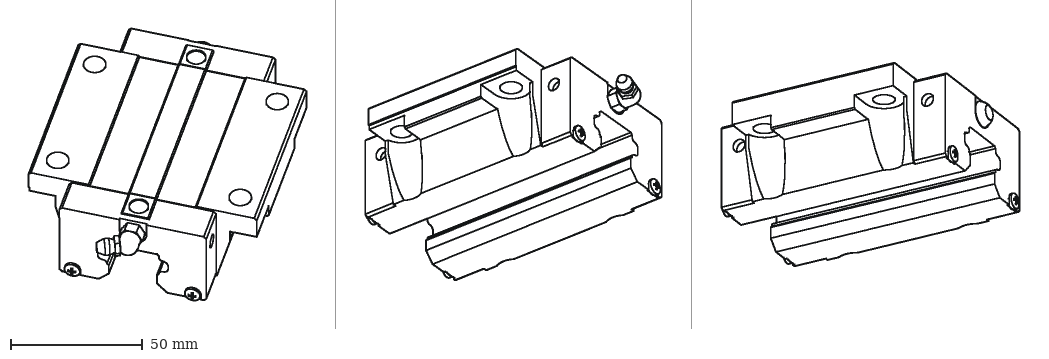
import cadquery as cq
import math


BLOCK_WIDTH = 90.0
BLOCK_LENGTH = 70.0
BLOCK_HEIGHT = 36.0
FLANGE_UNDERSIDE = 20.1
TOP_CHAMFER = 1.0
BOTTOM_CHAMFER = 0.6
WEB_TOP_HALF_WIDTH = 34.4
WEB_BOTTOM_HALF_WIDTH = 29.3
SIDE_STEP_HEIGHT = 27.6
SIDE_STEP_DEPTH = 0.3
RELIEF_DEPTH = 0.6
RELIEF_INNER = 5.0
RELIEF_OUTER = 21.3

HOLE_DIAMETER = 8.5
HOLE_X = 36.0
HOLE_Y = 26.0
CLEARANCE_RADIUS = 7.8
CLEARANCE_TOP = 25.9

CHANNEL_TOP_HALF_WIDTH = 9.4
CHANNEL_WALL_HALF_WIDTH = 10.2
CHANNEL_FOOT_HALF_WIDTH = 9.4
CHANNEL_FOOT_HEIGHT = 4.1
RACE_HALF_WIDTH = 13.8
RACE_HEIGHT = 14.0
RACE_HALF_HEIGHT = 2.8
LIP_RADIUS = 1.7
RACE_RADIUS = RACE_HALF_WIDTH - CHANNEL_WALL_HALF_WIDTH - LIP_RADIUS
CHANNEL_TOP_CHAMFER = CHANNEL_WALL_HALF_WIDTH - CHANNEL_TOP_HALF_WIDTH
CHANNEL_FOOT_STEP = CHANNEL_WALL_HALF_WIDTH - CHANNEL_FOOT_HALF_WIDTH

END_WIDTH = 57.9
END_HEIGHT = 35.1
END_CHAMFER = 1.0
CAP_LENGTH = 10.5
END_Y = 48.7
PAD_HEIGHT = 35.6
SCREW_RECESS_DEPTH = 0.7
FRONT_PORT_DEPTH = 0.7
REAR_PORT_DEPTH = 0.2
PLUG_Y = 40.4
TOP_PLUG_DIAMETER = 7.4
TOP_PLUG_DEPTH = 0.7
SIDE_PORT_DIAMETER = 5.1
SIDE_PORT_Y = 41.0
SIDE_PORT_Z = 25.2
SIDE_PORT_DEPTH = 2.8

SCREW_X = 23.7
SCREW_Z = 2.7
SCREW_RADIUS = 3.1
SCREW_RIM = 0.9
SCREW_HEAD = 1.7
CROSS_SPAN = 3.0
CROSS_ARM = 0.62
CROSS_DEPTH = 0.7

PORT_Z = 29.5
PORT_RADIUS = 5.3
PLUG_RADIUS = 5.2
PLUG_CENTRE_Y = 47.3
PLUG_TIP_Y = 51.6
HEX_FLATS = 8.1
HEX_END_Y = 52.1
ELBOW_RADIUS = 4.0
ELBOW_Y = 55.5
NIPPLE_ANGLE = 22.0
NIPPLE_LENGTH = 12.0
NIPPLE_TIP_RADIUS = 1.8
NIPPLE_NECK_RADIUS = 2.5
NIPPLE_BULGE_RADIUS = 3.2
NIPPLE_HEX_START = 3.3
NIPPLE_HEX_END = 5.2
NIPPLE_HEX_FLATS = 6.9
NIPPLE_BULGE_START = 7.3
NIPPLE_BULGE_END = 9.1


def centred_box(x_size, y_size, z_bottom, z_top, x=0.0, y=0.0):
    """Box centred on (x, y) between two heights."""
    box = cq.Workplane("XY").box(x_size, y_size, z_top - z_bottom, centered=(True, True, False))
    return box.translate((x, y, z_bottom))


def extrude_y(profile, y_start, y_end):
    """Extrude an XZ profile between two places along Y."""
    return profile.extrude(-(y_end - y_start)).translate((0, y_start, 0))


def hexagon(across_flats):
    """Hexagonal outline with its corners on the X axis."""
    return cq.Workplane("XZ").polygon(6, across_flats / math.cos(math.pi / 6))


def pad_profile(bottom, top):
    """Central raised strip with sides at 45 degrees."""
    base = RELIEF_INNER + top - bottom
    points = [(-base, bottom), (-RELIEF_INNER, top), (RELIEF_INNER, top), (base, bottom)]
    return cq.Workplane("XZ").polyline(points).close()


def make_block():
    """Steel block with its flanges, top relief strips and bolt holes."""
    half = BLOCK_WIDTH / 2
    stepped = half - SIDE_STEP_DEPTH
    outline = [
        (-WEB_BOTTOM_HALF_WIDTH, 0),
        (-WEB_TOP_HALF_WIDTH, FLANGE_UNDERSIDE),
        (-stepped + BOTTOM_CHAMFER, FLANGE_UNDERSIDE),
        (-stepped, FLANGE_UNDERSIDE + BOTTOM_CHAMFER),
        (-stepped, SIDE_STEP_HEIGHT),
        (-half, SIDE_STEP_HEIGHT + SIDE_STEP_DEPTH),
        (-half, BLOCK_HEIGHT - TOP_CHAMFER),
        (-half + TOP_CHAMFER, BLOCK_HEIGHT),
        (half - TOP_CHAMFER, BLOCK_HEIGHT),
        (half, BLOCK_HEIGHT - TOP_CHAMFER),
        (half, FLANGE_UNDERSIDE + BOTTOM_CHAMFER),
        (half - BOTTOM_CHAMFER, FLANGE_UNDERSIDE),
        (WEB_TOP_HALF_WIDTH, FLANGE_UNDERSIDE),
        (WEB_BOTTOM_HALF_WIDTH, 0),
    ]
    end = BLOCK_LENGTH / 2
    block = extrude_y(cq.Workplane("XZ").polyline(outline).close(), -end, end)

    floor = BLOCK_HEIGHT - RELIEF_DEPTH
    for side in (-1, 1):
        strip = [
            (side * RELIEF_INNER, BLOCK_HEIGHT),
            (side * (RELIEF_INNER + RELIEF_DEPTH), floor),
            (side * (RELIEF_OUTER - RELIEF_DEPTH), floor),
            (side * RELIEF_OUTER, BLOCK_HEIGHT),
        ]
        block = block.cut(extrude_y(cq.Workplane("XZ").polyline(strip).close(), -end, end))

    pocket_width = half - WEB_TOP_HALF_WIDTH
    for side in (-1, 1):
        for direction in (-1, 1):
            x = side * HOLE_X
            y = direction * HOLE_Y
            hole = cq.Workplane("XY").circle(HOLE_DIAMETER / 2).extrude(BLOCK_HEIGHT)
            clearance = cq.Workplane("XY").circle(CLEARANCE_RADIUS).extrude(CLEARANCE_TOP)
            block = block.cut(hole.union(clearance).translate((x, y, 0)))

            inner_y = HOLE_Y - CLEARANCE_RADIUS
            side_width = half - HOLE_X
            side_opening = centred_box(
                side_width, end - inner_y, 0, CLEARANCE_TOP,
                side * (half - side_width / 2), direction * (end + inner_y) / 2,
            )
            end_opening = centred_box(
                pocket_width, end - HOLE_Y, 0, CLEARANCE_TOP,
                side * (half - pocket_width / 2), direction * (end + HOLE_Y) / 2,
            )
            block = block.cut(side_opening).cut(end_opening)
    return block


def make_end_body(port_depth):
    """Cap and seal at the +Y end, with the plug hole, side ports and seal recesses."""
    block_end = BLOCK_LENGTH / 2
    length = END_Y - block_end
    body = centred_box(END_WIDTH, length, 0, END_HEIGHT, 0, block_end + length / 2)
    body = body.edges("|Y").chamfer(END_CHAMFER)
    pad = extrude_y(pad_profile(END_HEIGHT, PAD_HEIGHT), block_end, block_end + CAP_LENGTH)
    body = body.union(pad)

    plug_hole = cq.Workplane("XY").circle(TOP_PLUG_DIAMETER / 2).extrude(TOP_PLUG_DEPTH)
    body = body.cut(plug_hole.translate((0, PLUG_Y, PAD_HEIGHT - TOP_PLUG_DEPTH)))
    for side in (-1, 1):
        port = cq.Workplane("YZ").circle(SIDE_PORT_DIAMETER / 2).extrude(-side * SIDE_PORT_DEPTH)
        body = body.cut(port.translate((side * END_WIDTH / 2, SIDE_PORT_Y, SIDE_PORT_Z)))

    body = body.cut(seal_recess(0, PORT_Z, PORT_RADIUS, PORT_Z, PAD_HEIGHT, port_depth))
    for side in (-1, 1):
        recess = seal_recess(side * SCREW_X, SCREW_Z, SCREW_RADIUS, 0, SCREW_Z, SCREW_RECESS_DEPTH)
        body = body.cut(recess)
    return body


def seal_recess(x, z, radius, z_bottom, z_top, depth):
    """Round recess in the seal face with a straight mouth between two heights."""
    floor_y = END_Y - depth
    round_end = extrude_y(cq.Workplane("XZ").center(x, z).circle(radius), floor_y, END_Y)
    mouth = centred_box(2 * radius, depth, z_bottom, z_top, x, floor_y + depth / 2)
    return round_end.union(mouth)


def make_screw():
    """Cross-recessed crowned screw head at the origin, pointing along +Y."""
    crown_height = SCREW_HEAD - SCREW_RIM
    crown_radius = (SCREW_RADIUS**2 + crown_height**2) / (2 * crown_height)
    profile = (
        cq.Workplane("XY")
        .moveTo(0, -SCREW_RECESS_DEPTH)
        .lineTo(SCREW_RADIUS, -SCREW_RECESS_DEPTH)
        .lineTo(SCREW_RADIUS, SCREW_RIM)
        .radiusArc((0, SCREW_HEAD), -crown_radius)
        .close()
    )
    head = profile.revolve(360, (0, 0, 0), (0, 1, 0))
    for width, height in ((CROSS_SPAN, CROSS_ARM), (CROSS_ARM, CROSS_SPAN)):
        slot = cq.Workplane("XZ").rect(width, height)
        head = head.cut(extrude_y(slot, SCREW_HEAD - CROSS_DEPTH, SCREW_HEAD))
    return head


def make_end(port_depth):
    """Complete +Y end without its grease fitting."""
    end = make_end_body(port_depth)
    screw = make_screw()
    for side in (-1, 1):
        end = end.union(screw.translate((side * SCREW_X, END_Y, SCREW_Z)))
    return end


def make_channel():
    """Rail channel running the full length, with a ball race on each side."""
    race_top = RACE_HEIGHT + RACE_HALF_HEIGHT
    race_bottom = RACE_HEIGHT - RACE_HALF_HEIGHT
    lip = CHANNEL_WALL_HALF_WIDTH + LIP_RADIUS
    lip_top = race_top + LIP_RADIUS
    lip_bottom = race_bottom - LIP_RADIUS
    profile = (
        cq.Workplane("XZ")
        .moveTo(0, FLANGE_UNDERSIDE)
        .lineTo(CHANNEL_TOP_HALF_WIDTH, FLANGE_UNDERSIDE)
        .lineTo(CHANNEL_WALL_HALF_WIDTH, FLANGE_UNDERSIDE - CHANNEL_TOP_CHAMFER)
        .lineTo(CHANNEL_WALL_HALF_WIDTH, lip_top)
        .radiusArc((lip, race_top), -LIP_RADIUS)
        .radiusArc((RACE_HALF_WIDTH, race_top - RACE_RADIUS), RACE_RADIUS)
        .lineTo(RACE_HALF_WIDTH, race_bottom + RACE_RADIUS)
        .radiusArc((lip, race_bottom), RACE_RADIUS)
        .radiusArc((CHANNEL_WALL_HALF_WIDTH, lip_bottom), -LIP_RADIUS)
        .lineTo(CHANNEL_FOOT_HALF_WIDTH, lip_bottom - CHANNEL_FOOT_STEP)
        .lineTo(CHANNEL_FOOT_HALF_WIDTH, CHANNEL_FOOT_HEIGHT)
        .lineTo(CHANNEL_FOOT_HALF_WIDTH + CHANNEL_FOOT_HEIGHT, 0)
        .lineTo(0, 0)
        .close()
    )
    half = extrude_y(profile, -END_Y, END_Y)
    return half.union(half.mirror("YZ"))


def make_rear_plug():
    """Flat-topped ball segment seated in the +Y grease port."""
    seat_y = END_Y - REAR_PORT_DEPTH
    ball = cq.Workplane("XY").sphere(PLUG_RADIUS).translate((0, PLUG_CENTRE_Y, 0))
    plug = ball.intersect(extrude_y(cq.Workplane("XZ").circle(PLUG_RADIUS), seat_y, PLUG_TIP_Y))
    return plug.translate((0, 0, PORT_Z))


def make_nipple():
    """Elbow fitting on the -Y end: hexagon, round elbow and a slanted nipple."""
    seat_y = END_Y - FRONT_PORT_DEPTH
    fitting = extrude_y(hexagon(HEX_FLATS), -HEX_END_Y, -seat_y)
    fitting = fitting.union(extrude_y(cq.Workplane("XZ").circle(ELBOW_RADIUS), -ELBOW_Y, -HEX_END_Y))
    fitting = fitting.union(cq.Workplane("XY").sphere(ELBOW_RADIUS).translate((0, -ELBOW_Y, 0)))

    outline = [
        (0, 0),
        (NIPPLE_NECK_RADIUS, 0),
        (NIPPLE_NECK_RADIUS, -NIPPLE_HEX_END),
        (NIPPLE_BULGE_RADIUS, -NIPPLE_BULGE_START),
        (NIPPLE_BULGE_RADIUS, -NIPPLE_BULGE_END),
        (NIPPLE_TIP_RADIUS, -NIPPLE_LENGTH),
        (0, -NIPPLE_LENGTH),
    ]
    nipple = cq.Workplane("XY").polyline(outline).close().revolve(360, (0, 0, 0), (0, 1, 0))
    collar = extrude_y(hexagon(NIPPLE_HEX_FLATS), -NIPPLE_HEX_END, -NIPPLE_HEX_START)
    nipple = nipple.union(collar).rotate((0, 0, 0), (0, 0, 1), NIPPLE_ANGLE - 90)
    fitting = fitting.union(nipple.translate((0, -ELBOW_Y, 0)))
    return fitting.translate((0, 0, PORT_Z))


rear_end = make_end(REAR_PORT_DEPTH)
front_end = make_end(FRONT_PORT_DEPTH).mirror("XZ")
carriage = make_block().union(rear_end).union(front_end)
carriage = carriage.cut(make_channel())
result = carriage.union(make_rear_plug()).union(make_nipple())